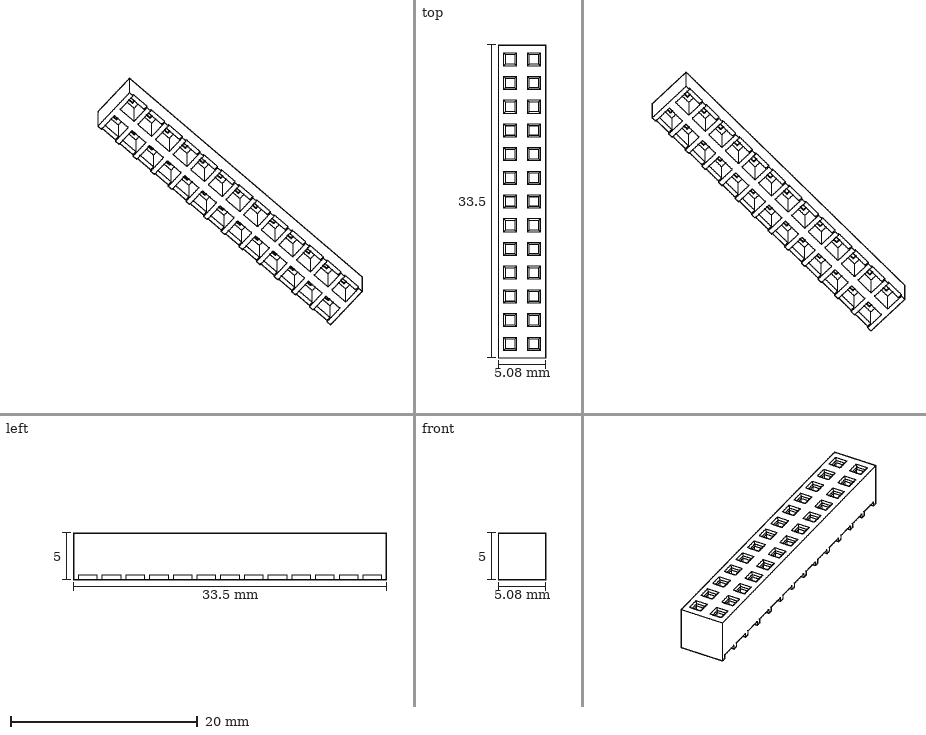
import cadquery as cq

pitch = 2.54
row_count = 2
contacts_per_row = 13
end_margin = 0.25
body_height = 5.0

hole_width = 1.0
mouth_width = 1.4
lead_in_depth = 0.2
passage_depth = 0.5

cavity_width = 1.6
cavity_length = 2.0
notch_height = 0.5

body_width = row_count * pitch
body_length = contacts_per_row * pitch + 2 * end_margin


def centred_positions(count):
    """Return coordinates of evenly pitched features centred on zero."""
    return [(index - (count - 1) / 2) * pitch for index in range(count)]


row_positions = centred_positions(row_count)
contact_positions = centred_positions(contacts_per_row)
contact_points = [(x, y) for x in row_positions for y in contact_positions]


def make_body():
    return cq.Workplane("XY").box(body_width, body_length, body_height, centered=(True, True, False))


def make_prisms(points, width, length, height):
    """Rectangular prisms standing on Z = 0, one at each point."""
    return cq.Workplane("XY").pushPoints(points).rect(width, length).extrude(height)


def make_pin_passages():
    """Square passages running through the full height."""
    return make_prisms(contact_points, hole_width, hole_width, body_height)


def make_contact_cavities():
    """Wider cavities below the passages, open at the bottom face."""
    return make_prisms(contact_points, cavity_width, cavity_length, body_height - passage_depth)


def make_side_notches():
    """Notches along both long lower edges, each leading from the side face to a cavity centre."""
    notch_reach = body_width / 2 - max(row_positions)
    notch_x = (body_width - notch_reach) / 2
    notch_points = [(side * notch_x, y) for side in (-1, 1) for y in contact_positions]
    return make_prisms(notch_points, notch_reach, cavity_length, notch_height)


def make_lead_in(x, y):
    """Pyramidal funnel narrowing from the mouth at the top face to the passage."""
    return (
        cq.Workplane("XY", origin=(x, y, body_height))
        .rect(mouth_width, mouth_width)
        .workplane(offset=-lead_in_depth)
        .rect(hole_width, hole_width)
        .loft(combine=True)
    )


result = make_body().cut(make_contact_cavities()).cut(make_pin_passages()).cut(make_side_notches())
for contact_x, contact_y in contact_points:
    result = result.cut(make_lead_in(contact_x, contact_y))